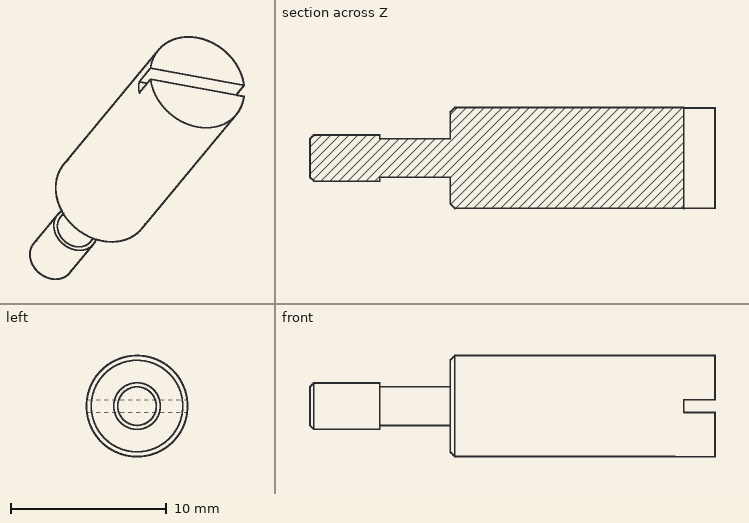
import cadquery as cq

total_length = 26.0

tip_diameter = 3.0
tip_length = 4.5
tip_chamfer = 0.25

neck_diameter = 2.5
body_start = 9.0

body_diameter = 6.5
body_chamfer = 0.3

slot_width = 0.8
slot_depth = 2.0


def cylinder(diameter, start, end):
    """Cylinder on the X axis between two X positions."""
    return cq.Workplane("YZ", origin=(start, 0, 0)).circle(diameter / 2).extrude(end - start)


tip = cylinder(tip_diameter, 0, tip_length).faces("<X").chamfer(tip_chamfer)
neck = cylinder(neck_diameter, tip_length, body_start)
body = cylinder(body_diameter, body_start, total_length).faces("<X").chamfer(body_chamfer)

slot = cq.Workplane("XY").box(slot_depth, body_diameter, slot_width).translate(
    (total_length - slot_depth / 2, 0, 0)
)

result = tip.union(neck).union(body).cut(slot)